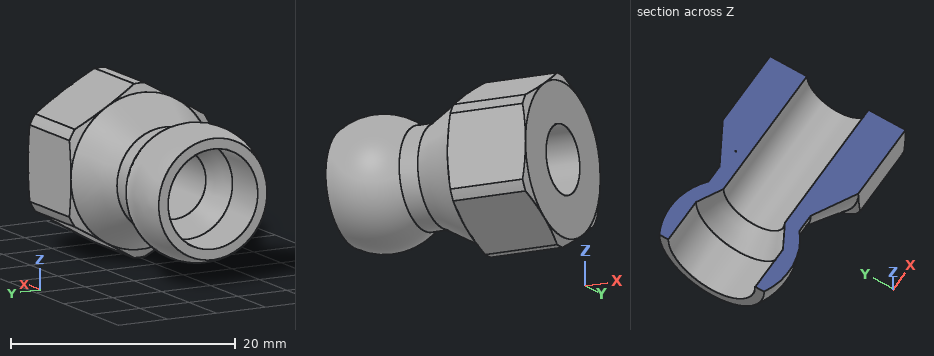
import cadquery as cq
import math

length = 20.98

ball_radius = 6.3
face_radius = 5.54
neck_radius = 4.83
neck_end = 8.9

hex_start = 13.11
hex_flats = 14.33
corner_diameter = 15.95
chamfer_length = 0.3

bore_radius = 3.23
mouth_radius = 4.57
mouth_depth = 4.62
cone_end = 7.07

flat_radius = hex_flats / 2
corner_radius = corner_diameter / 2
ball_center = math.sqrt(ball_radius**2 - face_radius**2)
neck_start = ball_center + math.sqrt(ball_radius**2 - neck_radius**2)


def revolve_about_x(profile):
    """Close a profile drawn in XY and turn it about the X axis."""
    return profile.close().revolve(360, (0, 0, 0), (1, 0, 0))


def make_ball_and_neck():
    """Truncated ball, cylindrical neck and cone widening to the hexagon."""
    return revolve_about_x(
        cq.Workplane("XY")
        .lineTo(0, face_radius)
        .threePointArc((ball_center, ball_radius), (neck_start, neck_radius))
        .lineTo(neck_end, neck_radius)
        .lineTo(hex_start, flat_radius)
        .lineTo(hex_start, 0)
    )


def make_hexagon():
    """Hexagonal prism with rounded corners and conical chamfers at both ends."""
    prism = (
        cq.Workplane("YZ", origin=(hex_start, 0, 0))
        .polygon(6, hex_flats, circumscribed=True)
        .extrude(length - hex_start)
    )
    envelope = revolve_about_x(
        cq.Workplane("XY")
        .moveTo(hex_start, 0)
        .lineTo(hex_start, flat_radius)
        .lineTo(hex_start + chamfer_length, corner_radius)
        .lineTo(length - chamfer_length, corner_radius)
        .lineTo(length, flat_radius)
        .lineTo(length, 0)
    )
    return prism.intersect(envelope)


def make_bore():
    """Cylindrical mouth and cone narrowing to a plain bore through the whole part."""
    return revolve_about_x(
        cq.Workplane("XY")
        .lineTo(0, mouth_radius)
        .lineTo(mouth_depth, mouth_radius)
        .lineTo(cone_end, bore_radius)
        .lineTo(length, bore_radius)
        .lineTo(length, 0)
    )


result = make_ball_and_neck().union(make_hexagon()).cut(make_bore())